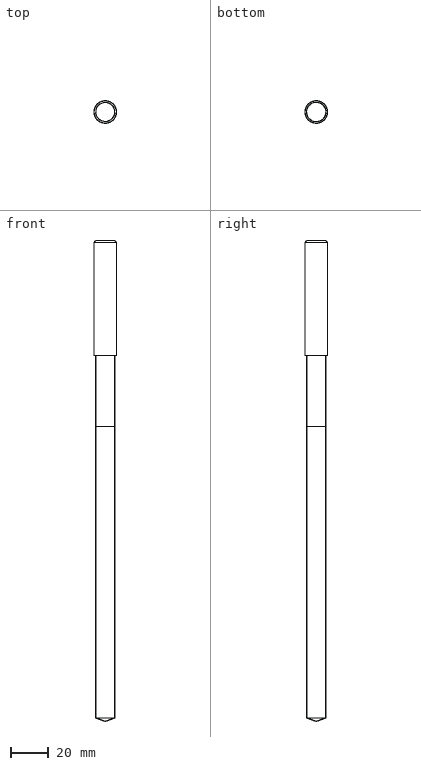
import cadquery as cq
import math

shank_diameter = 12.0
shank_length = 61.0
shank_chamfer = 1.0

drill_diameter = 10.3
point_angle = 140.0
shoulder_length = 253.0
holder_length = 98.5

shank_radius = shank_diameter / 2
drill_radius = drill_diameter / 2
point_length = drill_radius / math.tan(math.radians(point_angle / 2))


def make_holder():
    """Chamfered shank with the plain neck below it."""
    shank = (
        cq.Workplane("XY")
        .circle(shank_radius)
        .extrude(-shank_length)
        .faces(">Z")
        .chamfer(shank_chamfer)
    )
    neck = (
        cq.Workplane("XY")
        .workplane(offset=-shank_length)
        .circle(drill_radius)
        .extrude(shank_length - holder_length)
    )
    return shank.union(neck)


def make_cutting_part():
    """Plain cylinder at the drill diameter ending in the conical point."""
    return (
        cq.Workplane("XZ")
        .moveTo(0, -holder_length)
        .lineTo(drill_radius, -holder_length)
        .lineTo(drill_radius, -shoulder_length)
        .lineTo(0, -shoulder_length - point_length)
        .close()
        .revolve(360, (0, 0, 0), (0, 1, 0))
    )


holder = make_holder()
cutting_part = make_cutting_part()

result = cq.Compound.makeCompound([holder.val(), cutting_part.val()])